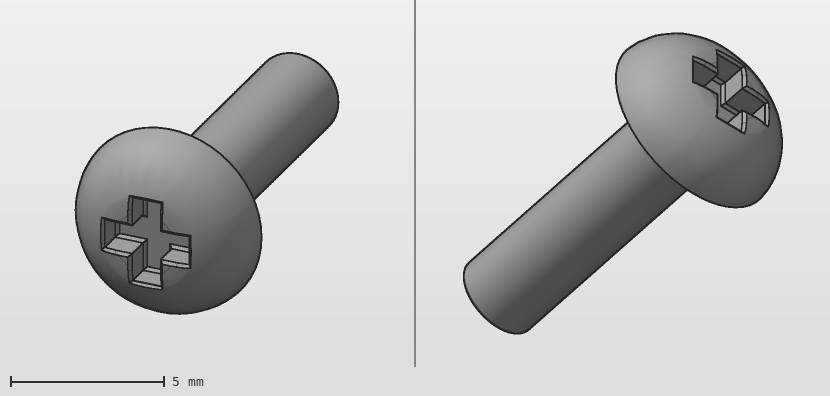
import cadquery as cq
import math

total_length = 12.0
head_height = 2.0
head_radius = 3.25
flat_radius = 1.1
dome_width = head_radius - flat_radius
dome_radius = (dome_width**2 + head_height**2) / (2 * head_height)
shank_length = total_length - head_height
shank_radius = 1.46

neck_size = 0.1
tip_round = 0.1

recess_depth = 1.07
recess_span = 3.01
recess_arm_width = 1.02
floor_bevel = 0.11
mouth_chamfer = 0.11
cutter_overshoot = 0.24


def make_body():
    """Revolve the head and shank; the dome arc is tangent to the flat crown."""
    dome_center_y = dome_radius - head_height
    mid_angle = (math.pi / 2 + math.asin(dome_center_y / dome_radius)) / 2
    dome_middle = (
        flat_radius + dome_radius * math.sin(mid_angle),
        dome_center_y - dome_radius * math.cos(mid_angle),
    )
    profile = (
        cq.Workplane("XY")
        .moveTo(0, -head_height)
        .lineTo(flat_radius, -head_height)
        .threePointArc(dome_middle, (head_radius, 0))
        .lineTo(shank_radius + neck_size, 0)
        .radiusArc((shank_radius, neck_size), neck_size)
        .lineTo(shank_radius, shank_length - tip_round)
        .radiusArc((shank_radius - tip_round, shank_length), -tip_round)
        .lineTo(0, shank_length)
        .close()
    )
    return profile.revolve(360, (0, 0, 0), (0, 1, 0))


def make_cross_cutter():
    """Straight cross from the recess floor past the crown, bevelled around the floor."""
    tip = recess_span / 2
    side = recess_arm_width / 2
    quarter = [(tip, -side), (tip, side), (side, side)]
    outline = []
    for _ in range(4):
        outline += quarter
        quarter = [(-y, x) for x, y in quarter]
    return (
        cq.Workplane("XZ", origin=(0, recess_depth - head_height, 0))
        .polyline(outline)
        .close()
        .extrude(recess_depth + cutter_overshoot)
        .faces(">Y")
        .chamfer(floor_bevel)
    )


def make_mouth_arm():
    """Flared bar along +X that dips with the dome, ending in a flared tip."""
    tip_radius = recess_span / 2 + mouth_chamfer
    tip_rise = tip_radius - flat_radius
    tip_drop = dome_radius - math.sqrt(dome_radius**2 - tip_rise**2)
    reach = tip_radius + cutter_overshoot
    reach_drop = tip_drop * (reach - flat_radius) / tip_rise
    mouth_half_width = recess_arm_width / 2 + mouth_chamfer

    def flare(x, drop):
        """Section across the arm: 45 degree sides meeting the crown at mouth width."""
        inner_y = drop - head_height + mouth_chamfer
        outer_y = drop - head_height - cutter_overshoot
        inner = mouth_half_width - mouth_chamfer
        outer = mouth_half_width + cutter_overshoot
        corners = [
            (x, inner_y, -inner),
            (x, inner_y, inner),
            (x, outer_y, outer),
            (x, outer_y, -outer),
        ]
        return cq.Wire.makePolygon([cq.Vector(*corner) for corner in corners], close=True)

    flat_part = cq.Solid.makeLoft([flare(0, 0), flare(flat_radius, 0)], True)
    sloped_part = cq.Solid.makeLoft([flare(flat_radius, 0), flare(reach, reach_drop)], True)
    tip_y = tip_drop - head_height
    tip_limit = (
        cq.Workplane("XY")
        .polyline([
            (0, tip_y + cutter_overshoot),
            (tip_radius - cutter_overshoot, tip_y + cutter_overshoot),
            (tip_radius + 2 * cutter_overshoot, tip_y - 2 * cutter_overshoot),
            (0, tip_y - 2 * cutter_overshoot),
        ])
        .close()
        .extrude(head_radius, both=True)
    )
    return cq.Workplane(flat_part).union(cq.Workplane(sloped_part)).intersect(tip_limit)


result = make_body().cut(make_cross_cutter())
mouth_arm = make_mouth_arm()
for quarter_turn in range(4):
    result = result.cut(mouth_arm.rotate((0, 0, 0), (0, 1, 0), 90 * quarter_turn))